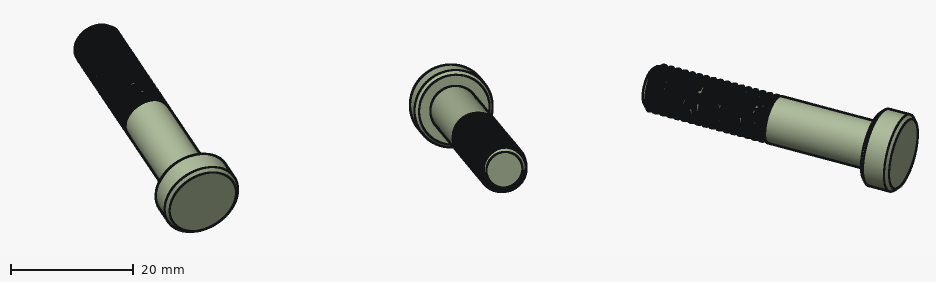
import cadquery as cq
import math

LENGTH = 45.0
HEAD_DIAMETER = 13.0
HEAD_HEIGHT = 5.0
HEAD_CHAMFER = 0.65
SHANK_DIAMETER = 8.0

THREAD_LENGTH = 22.15
ROOT_DIAMETER = 6.4
PITCH = LENGTH / 36
CREST_WIDTH = PITCH / 8
FLANK_HALF_ANGLE = 30.0
GROOVE_OFFSET = 0.7
TIP_DIAMETER = 6.0
TIP_TAPER_LENGTH = 1.8

LENGTH_AXIS = (1, 0, 0)


def cylinder_along_x(start, length, diameter):
    return cq.Workplane("YZ", origin=(start, 0, 0)).circle(diameter / 2).extrude(length)


def make_thread_section():
    """Section square to the axis, with the groove centred on local +X.

    A straight flank in the axial plane becomes a spiral here, which a single arc follows closely.
    """
    crest_radius = SHANK_DIAMETER / 2
    root_radius = ROOT_DIAMETER / 2
    crest_angle = 180 * (1 - CREST_WIDTH / PITCH)
    flank_width = (crest_radius - root_radius) * math.tan(math.radians(FLANK_HALF_ANGLE))
    root_angle = crest_angle - flank_width / PITCH * 360

    def section_point(radius, angle):
        return radius * math.cos(math.radians(angle)), radius * math.sin(math.radians(angle))

    middle_radius = (crest_radius + root_radius) / 2
    middle_angle = (crest_angle + root_angle) / 2
    return (
        cq.Workplane("YZ")
        .moveTo(*section_point(root_radius, -root_angle))
        .threePointArc((root_radius, 0), section_point(root_radius, root_angle))
        .threePointArc(section_point(middle_radius, middle_angle), section_point(crest_radius, crest_angle))
        .threePointArc((-crest_radius, 0), section_point(crest_radius, -crest_angle))
        .threePointArc(section_point(middle_radius, -middle_angle), section_point(root_radius, -root_angle))
        .close()
    )


def make_tip_envelope():
    """Cylinder wider than the thread, tapered at 45 degrees down to the tip face."""
    diameter = TIP_DIAMETER + 2 * TIP_TAPER_LENGTH
    return cylinder_along_x(0, THREAD_LENGTH, diameter).faces("<X").chamfer(TIP_TAPER_LENGTH)


def make_threaded_end():
    """The section twisted along the axis; the groove stops square at the plain shank."""
    threads = make_thread_section().twistExtrude(THREAD_LENGTH, 360 * THREAD_LENGTH / PITCH)
    threads = threads.rotate((0, 0, 0), LENGTH_AXIS, -360 * GROOVE_OFFSET / PITCH)
    return threads.intersect(make_tip_envelope())


def make_head():
    head = cylinder_along_x(LENGTH - HEAD_HEIGHT, HEAD_HEIGHT, HEAD_DIAMETER)
    return head.faces("<X or >X").chamfer(HEAD_CHAMFER)


shank = cylinder_along_x(THREAD_LENGTH, LENGTH - HEAD_HEIGHT - THREAD_LENGTH, SHANK_DIAMETER)
result = make_threaded_end().union(shank).union(make_head())